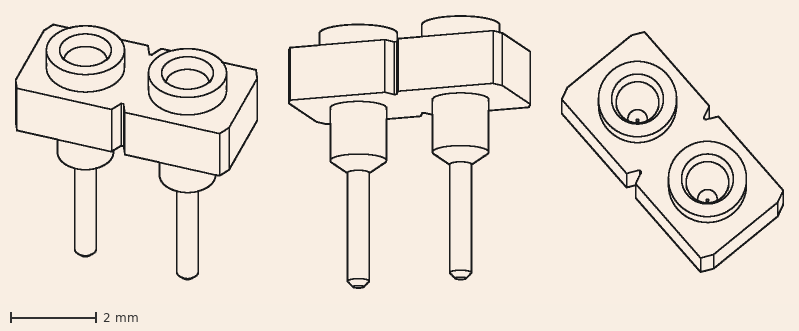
import cadquery as cq

total_height = 6.1

pitch = 2.54
housing_length = 5.31
housing_width = 2.54
housing_height = 1.27
chamfer_x = 0.135
chamfer_y = 0.285
notch_floor = 0.06

collar_diameter = 1.83
collar_height = 0.525
barrel_diameter = 1.32
barrel_length = 1.27
shoulder_height = 0.29
tail_diameter = 0.51
tip_diameter = 0.255
tip_height = 0.135

mouth_diameter = 1.215
mouth_depth = 0.29
bore_diameter = 1.0
bore_depth = 0.2
funnel_depth = 1.28
funnel_end_diameter = 0.45
drill_point_depth = 0.13
socket_floor_diameter = 0.06

housing_top = total_height - collar_height
housing_bottom = housing_top - housing_height
shoulder_top = housing_bottom - barrel_length
pin_positions = [(-pitch / 2, 0), (pitch / 2, 0)]


def make_housing():
    """Block with chamfered corners, a V notch on each long side and a hole for each pin."""
    half_length = housing_length / 2
    half_width = housing_width / 2
    notch_half_floor = notch_floor / 2
    notch_half_mouth = notch_half_floor + chamfer_x
    shoulder_y = half_width - chamfer_y
    upper_edge = [
        (-half_length, shoulder_y),
        (-half_length + chamfer_x, half_width),
        (-notch_half_mouth, half_width),
        (-notch_half_floor, shoulder_y),
        (notch_half_floor, shoulder_y),
        (notch_half_mouth, half_width),
        (half_length - chamfer_x, half_width),
        (half_length, shoulder_y),
    ]
    lower_edge = [(x, -y) for x, y in reversed(upper_edge)]
    block = (
        cq.Workplane("XY", origin=(0, 0, housing_bottom))
        .polyline(upper_edge + lower_edge)
        .close()
        .extrude(housing_height)
    )
    pin_holes = (
        cq.Workplane("XY", origin=(0, 0, housing_bottom))
        .pushPoints(pin_positions)
        .circle(barrel_diameter / 2)
        .extrude(housing_height)
    )
    return block.cut(pin_holes)


def make_pin(position):
    """Turned socket pin; half its section is revolved about its own axis."""
    mouth_radius = mouth_diameter / 2
    bore_radius = bore_diameter / 2
    funnel_end_radius = funnel_end_diameter / 2
    tail_radius = tail_diameter / 2
    barrel_radius = barrel_diameter / 2
    collar_radius = collar_diameter / 2

    bore_top = total_height - mouth_depth
    bore_bottom = bore_top - bore_depth
    funnel_bottom = bore_bottom - funnel_depth
    socket_floor = funnel_bottom - drill_point_depth

    section = (
        cq.Workplane("XZ")
        .moveTo(0, 0)
        .lineTo(tip_diameter / 2, 0)
        .lineTo(tail_radius, tip_height)
        .lineTo(tail_radius, shoulder_top - shoulder_height)
        .lineTo(barrel_radius, shoulder_top)
        .lineTo(barrel_radius, housing_top)
        .lineTo(collar_radius, housing_top)
        .lineTo(collar_radius, total_height)
        .lineTo(mouth_radius, total_height)
        .lineTo(bore_radius, bore_top)
        .lineTo(bore_radius, bore_bottom)
        .lineTo(funnel_end_radius, funnel_bottom)
        .lineTo(socket_floor_diameter / 2, socket_floor)
        .lineTo(0, socket_floor)
        .close()
    )
    pin = section.revolve(360, (0, 0, 0), (0, 1, 0))
    return pin.translate((*position, 0))


housing = make_housing()
pins = [make_pin(position) for position in pin_positions]

result = cq.Compound.makeCompound([housing.val(), *[pin.val() for pin in pins]])